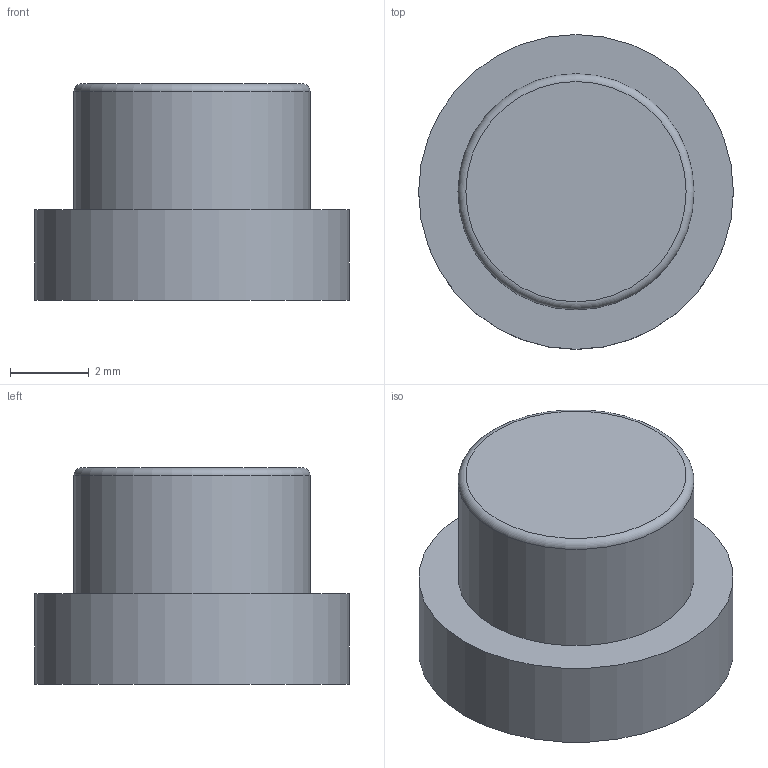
import cadquery as cq

flange_diameter = 8.0
flange_height = 2.3
plug_diameter = 6.0
total_height = 5.5
top_edge_radius = 0.2

plug_height = total_height - flange_height


def make_flange():
    """Wide round base resting on the XY plane."""
    return cq.Workplane("XY").circle(flange_diameter / 2).extrude(flange_height)


def add_plug(body):
    """Narrower coaxial cylinder standing on the flange."""
    return body.faces(">Z").workplane().circle(plug_diameter / 2).extrude(plug_height)


def round_top_edge(body):
    """Rounded rim around the free end of the plug."""
    return body.faces(">Z").edges().fillet(top_edge_radius)


result = round_top_edge(add_plug(make_flange()))